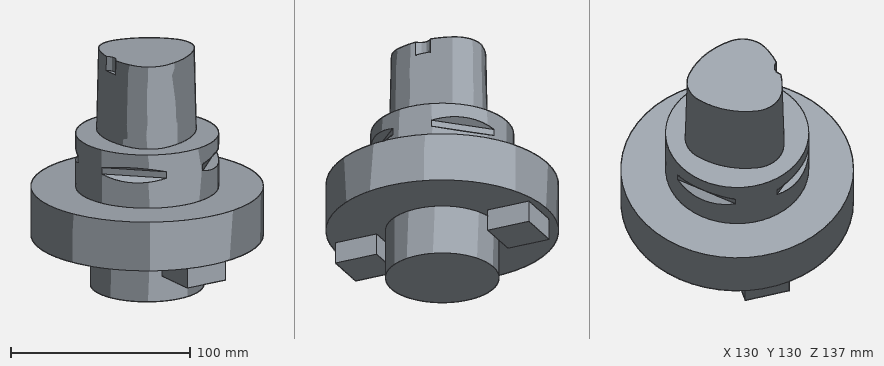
import cadquery as cq
import math

total_height = 137.0
shank_height = 48.0
collar_height = 31.2
flange_height = 28.6
collar_top = total_height - shank_height
flange_top = collar_top - collar_height
flange_bottom = flange_top - flange_height

spigot_diameter = 63.5
flange_diameter = 130.0
collar_diameter = 80.0

key_size = 25.6
key_drop = 12.6
key_center_radius = 47.4

lobe_reach = 29.6
flank_reach = 25.5
flank_radius = 45.3
shank_inset = 1.1

notch_radius = 5.9
notch_center_radius = 27.8
notch_depth = 8.2

groove_center_z = 76.9
groove_floor_radius = 35.5
groove_floor_height = 3.7
groove_mouth_height = 8.8


def cylinder(diameter, bottom, top):
    return cq.Workplane("XY").workplane(offset=bottom).circle(diameter / 2).extrude(top - bottom)


def polar(radius, angle):
    return (radius * math.cos(math.radians(angle)), radius * math.sin(math.radians(angle)))


def make_shank():
    """Three broad flanks joined by tangent lobe arcs, with one lobe toward +Y."""
    flank_offset = flank_radius - flank_reach
    radius_gap = flank_radius - lobe_reach
    lobe_offset = (flank_offset**2 - radius_gap**2) / (2 * radius_gap - flank_offset)
    half_span = math.degrees(
        math.atan2(
            lobe_offset * math.sin(math.radians(60)),
            flank_offset + lobe_offset * math.cos(math.radians(60)),
        )
    )

    def flank_point(flank_angle, sweep):
        center_x, center_y = polar(flank_offset, flank_angle + 180)
        out_x, out_y = polar(flank_radius, flank_angle + sweep)
        return (center_x + out_x, center_y + out_y)

    flank_angles = (-90, 30, 150)
    outline = cq.Workplane("XY").workplane(offset=collar_top)
    outline = outline.moveTo(*flank_point(flank_angles[0], -half_span))
    for angle in flank_angles:
        outline = outline.threePointArc(flank_point(angle, 0), flank_point(angle, half_span))
        outline = outline.threePointArc(
            polar(lobe_reach, angle + 60), flank_point(angle + 120, -half_span)
        )
    taper = math.degrees(math.atan2(shank_inset, shank_height))
    return outline.close().extrude(shank_height, taper=taper)


def make_notch():
    return (
        cq.Workplane("XY")
        .workplane(offset=total_height - notch_depth)
        .center(0, -notch_center_radius)
        .circle(notch_radius)
        .extrude(notch_depth)
    )


def make_groove(angle):
    """Straight groove with a flat floor and sloping sides, facing the given direction."""
    collar_radius = collar_diameter / 2
    floor_half = groove_floor_height / 2
    mouth_half = groove_mouth_height / 2
    return (
        cq.Workplane("XZ")
        .polyline(
            [
                (groove_floor_radius, groove_center_z - floor_half),
                (collar_radius, groove_center_z - mouth_half),
                (collar_radius, groove_center_z + mouth_half),
                (groove_floor_radius, groove_center_z + floor_half),
            ]
        )
        .close()
        .extrude(collar_radius, both=True)
        .rotate((0, 0, 0), (0, 0, 1), angle)
    )


def make_keys():
    return (
        cq.Workplane("XY")
        .workplane(offset=flange_bottom - key_drop)
        .pushPoints([(-key_center_radius, 0), (key_center_radius, 0)])
        .rect(key_size, key_size)
        .extrude(key_drop)
    )


result = cylinder(spigot_diameter, 0, flange_bottom)
result = result.union(cylinder(flange_diameter, flange_bottom, flange_top))
result = result.union(cylinder(collar_diameter, flange_top, collar_top))
result = result.union(make_keys())
result = result.union(make_shank())
result = result.cut(make_notch())
for groove_angle in (45, 135, 225, 315):
    result = result.cut(make_groove(groove_angle))